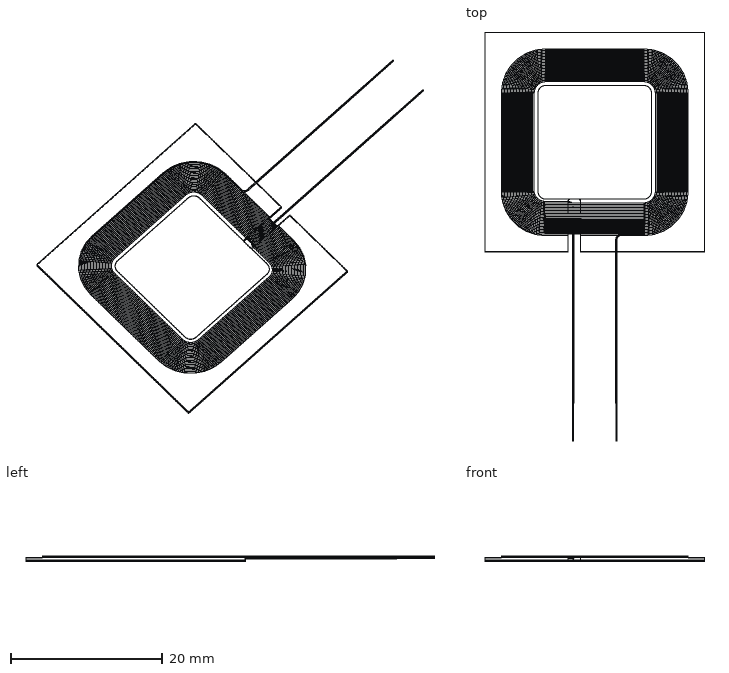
import cadquery as cq

overall_height = 0.7
overall_length = 54

plate_side = 29.0
tape_thickness = 0.15
ferrite_thickness = 0.3
ferrite_top = tape_thickness + ferrite_thickness

insulated_diameter = 0.18
conductor_diameter = 0.15
wire_gap = 0.0195
turn_pitch = insulated_diameter + wire_gap

turn_count = 22
coil_center_y = -0.02
straight_half_length = 6.5
inner_corner_radius = 1.6
inner_turn_offset = straight_half_length + inner_corner_radius
outer_turn_offset = inner_turn_offset + (turn_count - 1) * turn_pitch
last_run_offset = inner_turn_offset - turn_pitch
coil_half_width = outer_turn_offset + insulated_diameter / 2
coil_bottom = overall_height - insulated_diameter
coil_axis_z = coil_bottom + insulated_diameter / 2

ring_outer_half = coil_half_width
ring_inner_half = 7.5
ring_thickness = coil_bottom - ferrite_top

slot_left = -3.5
slot_right = -1.9
slot_end_y = coil_center_y - ring_inner_half
slot_corner_radius = 0.25

lead_x = 2.85
lead_bend_radius = 0.6
lead_end_y = plate_side / 2 - overall_length
bare_end_length = 5.0
sleeve_end_y = lead_end_y + bare_end_length
coil_end_x = lead_x + lead_bend_radius


def slot_cutter():
    """The slot volume, open at the -Y edge, with rounded inner corners."""
    width = slot_right - slot_left
    length = slot_end_y + plate_side / 2
    return (
        cq.Workplane("XY")
        .center((slot_left + slot_right) / 2, slot_end_y - length / 2)
        .rect(width, length)
        .extrude(overall_height)
        .edges("|Z and >Y")
        .fillet(slot_corner_radius)
    )


def square_sheet(bottom, thickness):
    """A full-size square sheet with the lead slot cut through it."""
    sheet = cq.Workplane("XY", origin=(0, 0, bottom)).rect(plate_side, plate_side).extrude(thickness)
    return sheet.cut(slot_cutter())


def rounded_square(half_width):
    """A ring-height block whose corner arcs share their centres with the coil's corner arcs."""
    block = (
        cq.Workplane("XY", origin=(0, coil_center_y, ferrite_top))
        .rect(2 * half_width, 2 * half_width)
        .extrude(ring_thickness)
    )
    return block.edges("|Z").fillet(half_width - straight_half_length)


def adhesive_ring():
    """The thin ring under the coil, cut through by the lead slot."""
    ring = rounded_square(ring_outer_half).cut(rounded_square(ring_inner_half))
    return ring.cut(slot_cutter())


def coil_point(x, y):
    """A point on the wire axis, from its position relative to the coil centre."""
    return cq.Vector(x, coil_center_y + y, coil_axis_z)


def straight_run(start, end):
    """A straight piece of the winding between two (x, y) positions."""
    return cq.Edge.makeLine(coil_point(*start), coil_point(*end))


def corner_arc(x, y, radius, start_angle):
    """A counter-clockwise quarter circle about (x, y)."""
    return cq.Edge.makeCircle(radius, coil_point(x, y), angle1=start_angle, angle2=start_angle + 90)


def step_in_corner(x, y, radius):
    """A quarter ellipse in the -X, -Y corner that steps in by one pitch."""
    return cq.Edge.makeEllipse(radius, radius - turn_pitch, coil_point(x, y), angle1=180, angle2=270)


def coil_path():
    """The winding from its outer end inwards, counter-clockwise, with one step in per turn."""
    side = straight_half_length
    edges = []
    start_x = coil_end_x
    for turn in range(turn_count):
        offset = outer_turn_offset - turn * turn_pitch
        radius = offset - side
        edges += [
            straight_run((start_x, -offset), (side, -offset)),
            corner_arc(side, -side, radius, 270),
            straight_run((offset, -side), (offset, side)),
            corner_arc(side, side, radius, 0),
            straight_run((side, offset), (-side, offset)),
            corner_arc(-side, side, radius, 90),
            straight_run((-offset, side), (-offset, -side)),
            step_in_corner(-side, -side, radius),
        ]
        start_x = -side
    edges.append(straight_run((-side, -last_run_offset), (-coil_end_x, -last_run_offset)))
    return cq.Wire.assembleEdges(edges)


def coil_winding():
    """Round insulated wire swept along the whole winding."""
    start_plane = cq.Plane(coil_point(coil_end_x, -outer_turn_offset), xDir=(0, 1, 0), normal=(1, 0, 0))
    return cq.Workplane(start_plane).circle(insulated_diameter / 2).sweep(cq.Workplane(coil_path()))


def lead_conductor(side, bend_start_y, axis_z):
    """Bare wire that bends from the coil's end run and goes straight along -Y; side is the sign of its X."""
    x = side * lead_x
    bend_start = cq.Vector(side * coil_end_x, bend_start_y, axis_z)
    bend_end = cq.Vector(x, bend_start_y - lead_bend_radius, axis_z)
    bend = cq.Edge.makeTangentArc(bend_start, cq.Vector(-side, 0, 0), bend_end)
    straight = cq.Edge.makeLine(bend_end, cq.Vector(x, lead_end_y, axis_z))
    path = cq.Workplane(cq.Wire.assembleEdges([bend, straight]))
    start_plane = cq.Plane(bend_start, xDir=(0, 1, 0), normal=(-side, 0, 0))
    return cq.Workplane(start_plane).circle(conductor_diameter / 2).sweep(path)


def lead_sleeve(side, bend_start_y, axis_z):
    """Insulation tube from the end of the lead's bend to its bare end."""
    start_y = bend_start_y - lead_bend_radius
    plane = cq.Plane((side * lead_x, start_y, axis_z), xDir=(1, 0, 0), normal=(0, -1, 0))
    return (
        cq.Workplane(plane)
        .circle(insulated_diameter / 2)
        .circle(conductor_diameter / 2)
        .extrude(start_y - sleeve_end_y)
    )


base_tape = square_sheet(0, tape_thickness)
ferrite = square_sheet(tape_thickness, ferrite_thickness)
ring = adhesive_ring()
coil = coil_winding()

leads = [
    (-1, coil_center_y - last_run_offset, coil_bottom - insulated_diameter / 2),
    (1, coil_center_y - outer_turn_offset, coil_axis_z),
]
conductors = [lead_conductor(*lead) for lead in leads]
sleeves = [lead_sleeve(*lead) for lead in leads]

result = cq.Compound.makeCompound(
    [
        base_tape.val(),
        ferrite.val(),
        ring.val(),
        coil.val(),
        *[conductor.val() for conductor in conductors],
        *[sleeve.val() for sleeve in sleeves],
    ]
)